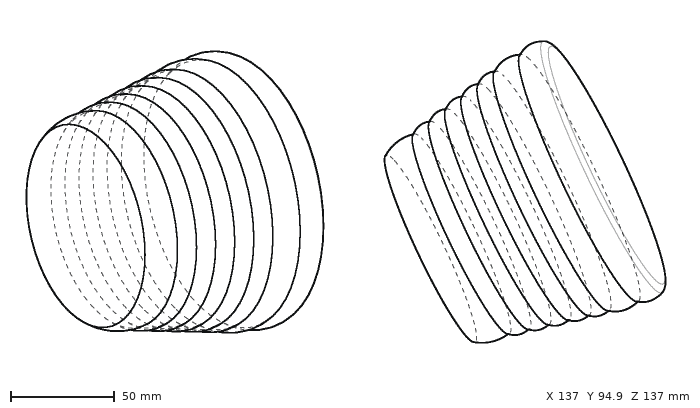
import cadquery as cq

pot_height = 94.87
rim_middle_diameter = 136.88
base_diameter = 100.0

bottom_bulge_height = 16.7
small_bulge_count = 5
small_bulge_height = 9.76
wide_bulge_height = 14.7
lowest_groove_radius = 53.45
groove_taper = 0.216
wide_bulge_top_radius = 66.0

bottom_bulge_rise = 1.8
small_bulge_rise = 1.5
wide_bulge_rise = 2.1

rim_bulge_top_radius = 67.2
lip_height = 2.3
lip_width = 3.7
lip_corner_rise = 0.95


def bulge_midpoint(start, end, rise):
    """Middle of an arc from start to end that stands radially out of its chord by rise."""
    return ((start[0] + end[0]) / 2 + rise, (start[1] + end[1]) / 2)


def add_bulge(profile, start, end, rise):
    """Add one outward arc to the profile and return the point where it stops."""
    profile = profile.threePointArc(bulge_midpoint(start, end, rise), end)
    return profile, end


def make_pot():
    """Revolve the half profile, drawn as (radius, height), about the Y axis."""
    point = (base_diameter / 2, 0)
    profile = cq.Workplane("XY").lineTo(*point)

    groove = (lowest_groove_radius, bottom_bulge_height)
    profile, point = add_bulge(profile, point, groove, bottom_bulge_rise)

    for _ in range(small_bulge_count):
        groove = (point[0] + groove_taper * small_bulge_height, point[1] + small_bulge_height)
        profile, point = add_bulge(profile, point, groove, small_bulge_rise)

    groove = (wide_bulge_top_radius, point[1] + wide_bulge_height)
    profile, point = add_bulge(profile, point, groove, wide_bulge_rise)

    rim_bulge_end = (rim_bulge_top_radius, pot_height - lip_height)
    rim_bulge_rise = rim_middle_diameter / 2 - (point[0] + rim_bulge_end[0]) / 2
    profile, point = add_bulge(profile, point, rim_bulge_end, rim_bulge_rise)

    top_edge = (rim_bulge_top_radius - lip_width, pot_height)
    profile, point = add_bulge(profile, point, top_edge, lip_corner_rise)
    profile = profile.lineTo(0, pot_height).close()

    return profile.revolve(360, (0, 0, 0), (0, 1, 0))


result = make_pot()